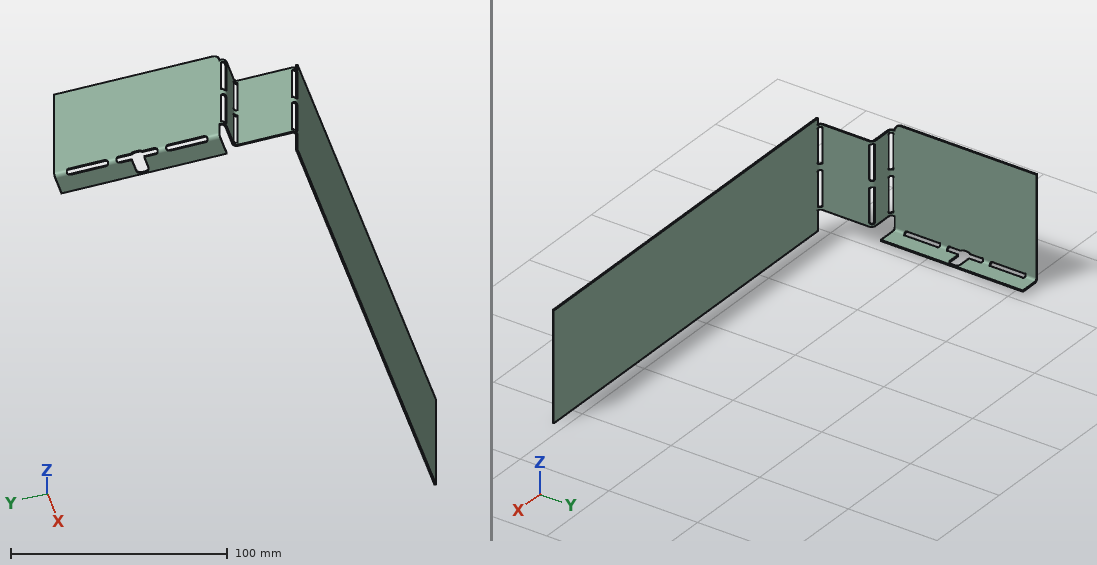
import cadquery as cq
import math

sheet = 0.8
bend_inner = 1.4
bend_outer = bend_inner + sheet

length = 229.3
depth = 112.8
height = 60.5

strip_bottom = 11.0
strip_top = 56.9
step_y = 29.8
web_x = 14.5

wall_bottom = 3.0
wall_length = 80.0
wall_front = depth - wall_length
wall_corner_radius = 3.5
flange_reach = 11.7

bend_slot_length = 20.0
strip_slot_count = 2
strip_slot_pitch = 23.2
flange_slot_count = 3
flange_slot_pitch = 24.0

notch_width = 6.0
notch_reach = 11.0
notch_rise = 3.0
notch_corner_radius = 2.0


def block(x_range, y_range, z_range):
    """Box spanning the given ranges."""
    spans = [high - low for low, high in (x_range, y_range, z_range)]
    corner = (x_range[0], y_range[0], z_range[0])
    return cq.Workplane("XY").box(*spans, centered=False).translate(corner)


def slotted_bend(width, slot_count, slot_pitch):
    """Quarter ring along Z, in the -X -Y quadrant, with a centred row of round-ended slots."""
    ring = cq.Workplane("XY").circle(bend_outer).circle(bend_inner).extrude(width)
    quadrant = block((-bend_outer, 0), (-bend_outer, 0), (0, width))
    facing = cq.Plane(origin=(0, 0, width / 2), xDir=(0, 0, 1), normal=(-1, -1, 0))
    slots = (
        cq.Workplane(facing)
        .rarray(slot_pitch, 2.3, slot_count, 1)
        .slot2D(bend_slot_length, bend_outer * math.sqrt(2))
        .extrude(bend_outer)
    )
    return ring.intersect(quadrant).cut(slots)


def strip_bend(x, y, turn):
    """Upright bend whose axis stands at (x, y), turned about that axis."""
    bend = slotted_bend(strip_top - strip_bottom, strip_slot_count, strip_slot_pitch)
    return bend.rotate((0, 0, 0), (0, 0, 1), turn).translate((x, y, strip_bottom))


def flange_bend():
    """Bend between the side wall and its flange."""
    bend = slotted_bend(wall_length, flange_slot_count, flange_slot_pitch)
    bend = bend.rotate((0, 0, 0), (1, 0, 0), 90)
    return bend.translate((bend_outer, depth, wall_bottom + bend_outer))


strip_range = (strip_bottom, strip_top)
wall_bend_y = step_y + bend_outer
wall_bend_z = wall_bottom + bend_outer
step_bend_x = web_x + sheet - bend_outer
step_bend_y = step_y + sheet - bend_outer
front_bend_x = web_x + bend_outer

front_plate = block((front_bend_x, length), (0, sheet), (0, height))
web_plate = block((web_x, web_x + sheet), (bend_outer, step_bend_y), strip_range)
step_plate = block((bend_outer, step_bend_x), (step_y, step_y + sheet), strip_range)
wall = block((0, sheet), (wall_front, depth), (wall_bend_z, height))
wall = wall.edges("|X and <Y and >Z").fillet(wall_corner_radius)
wall_lip = block((0, sheet), (wall_bend_y, wall_front), strip_range)
flange = block((bend_outer, flange_reach), (wall_front, depth), (wall_bottom, wall_bottom + sheet))

notch_y = (wall_front + depth) / 2
notch_range = (notch_y - notch_width / 2, notch_y + notch_width / 2)
flange_notch = block((0, notch_reach), notch_range, (wall_bottom, wall_bottom + sheet))
flange_notch = flange_notch.edges("|Z and >X").fillet(notch_corner_radius)
wall_notch = block((0, sheet), notch_range, (wall_bottom, wall_bottom + notch_rise))
wall_notch = wall_notch.edges("|X and >Z").fillet(notch_corner_radius)
flange = flange.cut(flange_notch)
wall = wall.cut(wall_notch)

result = (
    front_plate
    .union(strip_bend(front_bend_x, bend_outer, 0))
    .union(web_plate)
    .union(strip_bend(step_bend_x, step_bend_y, 180))
    .union(step_plate)
    .union(strip_bend(bend_outer, wall_bend_y, 0))
    .union(wall_lip)
    .union(wall)
    .union(flange_bend())
    .union(flange)
)